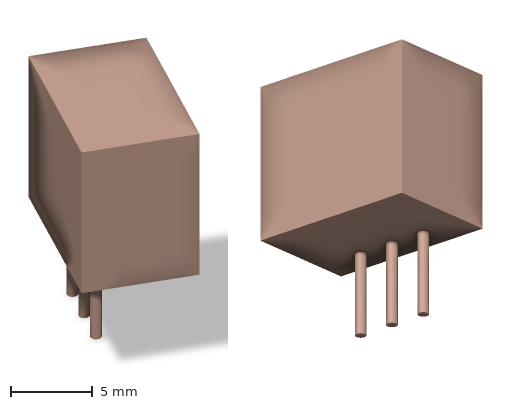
import cadquery as cq

total_height = 15.6
body_length = 11.51
body_width = 7.53
body_height = 10.2

pin_count = 3
pin_diameter = 0.72
pin_pitch = 2.55
pin_row_y = -1.9
pin_length = total_height - body_height


def make_housing():
    """Plain rectangular block standing on the XY plane."""
    return cq.Workplane("XY").box(
        body_length, body_width, body_height, centered=(True, True, False)
    )


def make_pin(x):
    """Round pin hanging from the underside of the housing."""
    return cq.Workplane("XY").center(x, pin_row_y).circle(pin_diameter / 2).extrude(-pin_length)


housing = make_housing()

pins = []
for index in range(pin_count):
    offset_from_middle = index - (pin_count - 1) / 2
    pins.append(make_pin(offset_from_middle * pin_pitch))

result = cq.Compound.makeCompound([housing.val(), *[pin.val() for pin in pins]])